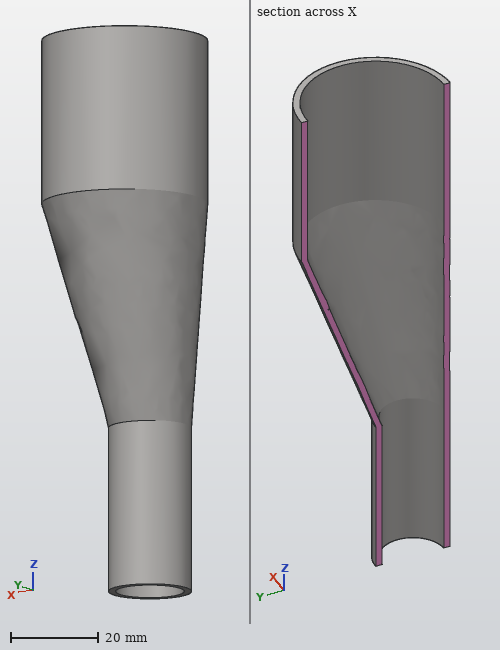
import cadquery as cq

large_diameter = 38.1
small_diameter = 19.05
wall = 1.65
tube_length = 38.1
transition_length = 50.8

small_axis_y = -(large_diameter - small_diameter) / 2
transition_top = tube_length + transition_length


def reducer_body(large_dia, small_dia):
    """Solid made of the small tube, the slanted cone and the large tube, from bottom to top."""
    small_tube = (
        cq.Workplane("XY")
        .center(0, small_axis_y)
        .circle(small_dia / 2)
        .extrude(tube_length)
    )
    transition = (
        cq.Workplane("XY", origin=(0, 0, tube_length))
        .center(0, small_axis_y)
        .circle(small_dia / 2)
        .workplane(offset=transition_length)
        .center(0, -small_axis_y)
        .circle(large_dia / 2)
        .loft(ruled=True, combine=True)
    )
    large_tube = (
        cq.Workplane("XY", origin=(0, 0, transition_top))
        .circle(large_dia / 2)
        .extrude(tube_length)
    )
    return small_tube.union(transition).union(large_tube)


outside = reducer_body(large_diameter, small_diameter)
bore = reducer_body(large_diameter - 2 * wall, small_diameter - 2 * wall)

result = outside.cut(bore)